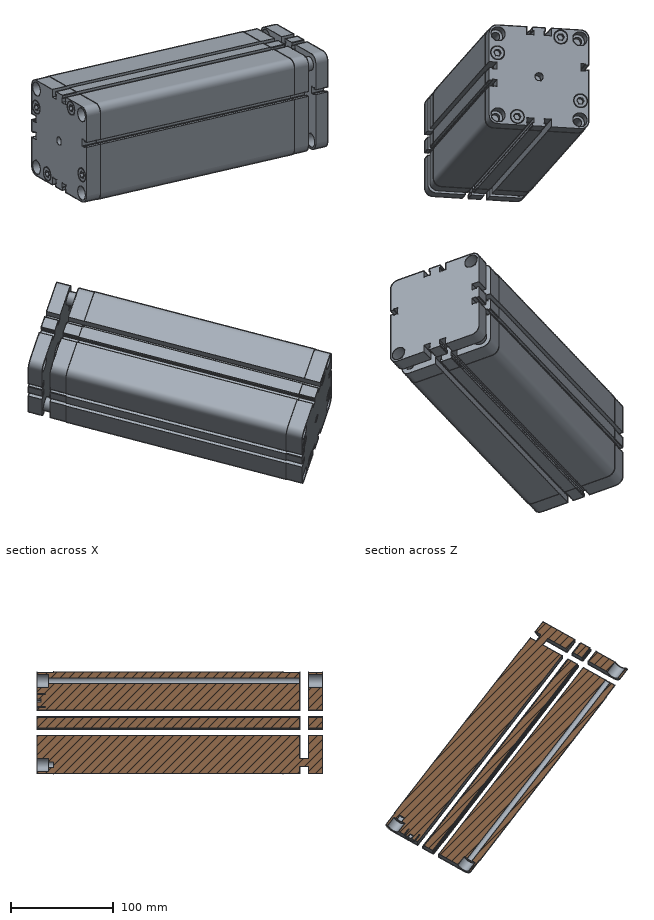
import cadquery as cq
import math

total_length = 278.0
plate_length = 14.0
gap = 8.3
cap_length = 16.0
body_length = total_length - plate_length - gap
tube_length = body_length - 2 * cap_length
rear_cap_start = body_length - cap_length
plate_start = body_length + gap

tube_side = 100.0
cap_side = 99.5
corner_radius = 8.0

slot_depth = 7.8
lip_depth = 3.3
undercut = 1.0
rib_half_width = 6.5
cap_rib_chamfer = 0.5
pair_slot_far_edge = 12.2
single_slot_centre = 12.2
single_slot_width = 5.0

corner_hole_offset = 41.0
corner_hole_diameter = 8.3
corner_bore_diameter = 14.0
corner_bore_depth = 11.0
plate_hole_diameter = 14.0

guide_pin_offset = 38.6
guide_pin_diameter = 14.0

screw_edge_offset = 41.5
screw_side_offset = 21.7
screw_bore_diameter = 14.0
screw_head_diameter = 13.0
screw_head_height = 8.0
socket_across_flats = 6.0
socket_depth = 4.0

port_diameter = 8.0
port_depth = 11.0

rod_diameter = 20.0
rod_across_flats = 17.0
rod_chamfer = 1.7
flat_length = 5.5


def cylinder(diameter, start, length, x=0.0, z=0.0):
    """Cylinder along +Y from the plane Y = start."""
    centre = cq.Vector(x, start, z)
    return cq.Workplane(obj=cq.Solid.makeCylinder(diameter / 2, length, centre, cq.Vector(0, 1, 0)))


def pair_slot_outline(direction, rib_chamfer):
    """Slot beside the central rib, undercut below the rib's lip, as (offset, depth) points."""
    foot = rib_half_width - undercut
    outline = [(pair_slot_far_edge, slot_depth), (pair_slot_far_edge, 0)]
    if rib_chamfer > 0:
        outline.append((rib_half_width - rib_chamfer, 0))
    outline += [
        (rib_half_width, rib_chamfer),
        (rib_half_width, lip_depth),
        (foot, lip_depth),
        (foot, slot_depth),
    ]
    return [(direction * x, depth) for x, depth in outline]


def single_slot_outline():
    """T-shaped slot, undercut below both lips, as (offset, depth) points."""
    neck = single_slot_width / 2
    foot = neck + undercut
    outline = [(neck, 0), (neck, lip_depth), (foot, lip_depth), (foot, slot_depth)]
    outline += [(-x, depth) for x, depth in reversed(outline)]
    return [(x - single_slot_centre, depth) for x, depth in outline]


def grooved_block(start, length, side, rib_chamfer=0.0):
    """Square block along +Y with rounded long edges and sensor slots along its four sides."""
    block = cq.Workplane("XY").box(side, length, side).translate((0, start + length / 2, 0))
    block = block.edges("|Y").fillet(corner_radius)

    def slot(outline, turn):
        """Slot in the +Z side, turned about the Y axis onto the wanted side."""
        points = [(x, side / 2 - depth) for x, depth in outline]
        cutter = cq.Workplane("XZ", origin=(0, start, 0)).polyline(points).close().extrude(-length)
        return cutter.rotate((0, 0, 0), (0, 1, 0), turn)

    for turn in (0, 180, 270):
        for direction in (1, -1):
            block = block.cut(slot(pair_slot_outline(direction, rib_chamfer), turn))
    return block.cut(slot(single_slot_outline(), 90))


def piston_rod():
    """Rod end with a chamfer and two wrench flats that run out at 45 degrees."""
    rod = cylinder(rod_diameter, body_length, gap).faces(">Y").chamfer(rod_chamfer)
    flat_x = rod_across_flats / 2
    flat_start = plate_start - flat_length
    overshoot = rod_diameter
    for direction in (1, -1):
        outline = [
            (direction * flat_x, plate_start),
            (direction * flat_x, flat_start),
            (direction * (flat_x + overshoot), flat_start - overshoot),
            (direction * (flat_x + overshoot), plate_start),
        ]
        rod = rod.cut(cq.Workplane("XY").polyline(outline).close().extrude(rod_diameter, both=True))
    return rod


def screw_recess(x, z):
    """Ring-shaped gap around a flush screw head, with the head's hexagon socket."""
    bore = cylinder(screw_bore_diameter, 0, screw_head_height, x, z)
    head = cylinder(screw_head_diameter, 0, screw_head_height, x, z)
    socket_corner_diameter = socket_across_flats / math.cos(math.pi / 6)
    socket = cq.Workplane("XZ").polygon(6, socket_corner_diameter).extrude(-socket_depth)
    return bore.cut(head).union(socket.translate((x, 0, z)))


result = grooved_block(cap_length, tube_length, tube_side)
for start, length in ((0, cap_length), (rear_cap_start, cap_length), (plate_start, plate_length)):
    result = result.union(grooved_block(start, length, cap_side, cap_rib_chamfer))

for side_x in (1, -1):
    for side_z in (1, -1):
        x = side_x * corner_hole_offset
        z = side_z * corner_hole_offset
        result = result.cut(cylinder(corner_bore_diameter, 0, corner_bore_depth, x, z))
        if side_x == side_z:
            result = result.cut(cylinder(corner_hole_diameter, 0, cap_length, x, z))
        else:
            result = result.cut(cylinder(corner_hole_diameter, 0, body_length, x, z))
            result = result.cut(cylinder(plate_hole_diameter, plate_start, plate_length, x, z))

result = result.cut(cylinder(port_diameter, 0, port_depth))

for x, z in (
    (screw_side_offset, screw_edge_offset),
    (screw_edge_offset, -screw_side_offset),
    (-screw_side_offset, -screw_edge_offset),
    (-screw_edge_offset, screw_side_offset),
):
    result = result.cut(screw_recess(x, z))

result = result.union(piston_rod())
for direction in (1, -1):
    offset = direction * guide_pin_offset
    result = result.union(cylinder(guide_pin_diameter, body_length, gap, offset, offset))